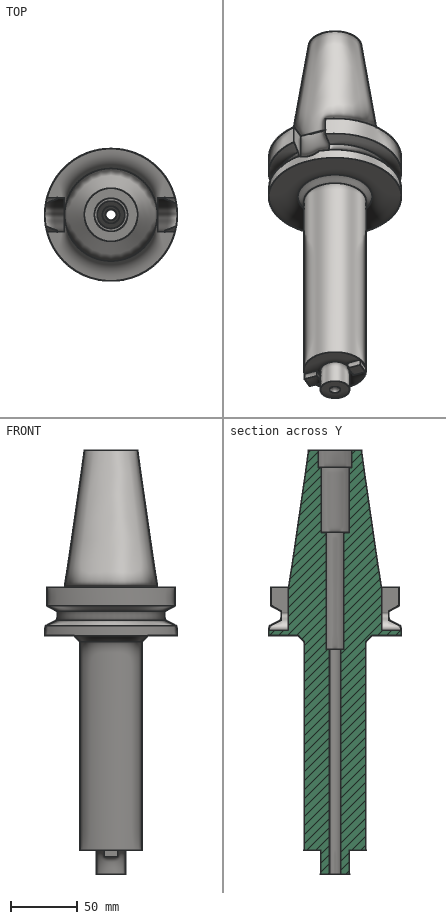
import math

import cadquery as cq


gauge_diameter = 69.85
taper_length = 101.8
taper_ratio = 7 / 24
taper_end_diameter = gauge_diameter - taper_length * taper_ratio

flange_diameter = 100.0
flange_top = -1.5
flange_bottom = -38.0
groove_floor_diameter = 85.0
groove_center = -23.1
groove_mouth_width = 15.2
groove_wall_angle = 30.0

slot_width = 25.7
slot_floor_x = 35.4
slot_bottom = -33.7

body_diameter = 47.0
body_end = -200.0
collar_height = 4.5
collar_diameter = body_diameter + 2 * collar_height
pilot_diameter = 22.0
pilot_length = 18.0
pilot_end = body_end - pilot_length

key_width = 10.0
key_height = 4.8
key_inner_y = 12.75
key_outer_y = 22.9

counterbore_diameter = 25.0
counterbore_depth = 13.0
thread_hole_diameter = 20.75
thread_hole_depth = 62.0
step_diameter = 13.0
step_depth = 150.0
through_diameter = 8.0


def make_turned_body():
    """Revolve the outer profile: taper, flange, collar, body and pilot."""
    groove_rise = (flange_diameter - groove_floor_diameter) / 2 * math.tan(math.radians(groove_wall_angle))
    mouth_half = groove_mouth_width / 2
    floor_half = mouth_half - groove_rise
    profile = [
        (0, taper_length),
        (taper_end_diameter / 2, taper_length),
        (gauge_diameter / 2, 0),
        (gauge_diameter / 2, flange_top),
        (flange_diameter / 2, flange_top),
        (flange_diameter / 2, groove_center + mouth_half),
        (groove_floor_diameter / 2, groove_center + floor_half),
        (groove_floor_diameter / 2, groove_center - floor_half),
        (flange_diameter / 2, groove_center - mouth_half),
        (flange_diameter / 2, flange_bottom),
        (collar_diameter / 2, flange_bottom),
        (body_diameter / 2, flange_bottom - collar_height),
        (body_diameter / 2, body_end),
        (pilot_diameter / 2, body_end),
        (pilot_diameter / 2, pilot_end),
        (0, pilot_end),
    ]
    return cq.Workplane("YZ").polyline(profile).close().revolve(360, (0, 0), (0, 1))


def make_drive_slot(side):
    """Round-bottomed slot cutter on the given side of X (-1 or 1), open at the top and rim."""
    radius = slot_width / 2
    arc_center = slot_bottom + radius
    return (
        cq.Workplane("YZ", origin=(side * slot_floor_x, 0, 0))
        .moveTo(-radius, flange_top)
        .lineTo(-radius, arc_center)
        .threePointArc((0, slot_bottom), (radius, arc_center))
        .lineTo(radius, flange_top)
        .close()
        .extrude(side * flange_diameter / 2)
    )


def make_key(side):
    """Drive key on the given side of Y (-1 or 1), standing on the body end face."""
    key_length = key_outer_y - key_inner_y
    key_middle_y = side * (key_inner_y + key_outer_y) / 2
    return (
        cq.Workplane("XY", origin=(0, key_middle_y, body_end))
        .rect(key_width, key_length)
        .extrude(-key_height)
    )


def make_bore():
    """Stepped hole from the small end of the taper, running out through the pilot."""
    steps = [
        (counterbore_diameter, counterbore_depth),
        (thread_hole_diameter, thread_hole_depth),
        (step_diameter, step_depth),
        (through_diameter, taper_length - pilot_end),
    ]
    top_plane = cq.Workplane("XY", origin=(0, 0, taper_length))
    bore = None
    for diameter, depth in steps:
        cylinder = top_plane.circle(diameter / 2).extrude(-depth)
        bore = cylinder if bore is None else bore.union(cylinder)
    return bore


result = make_turned_body()
for side in (-1, 1):
    result = result.cut(make_drive_slot(side)).union(make_key(side))
result = result.cut(make_bore())